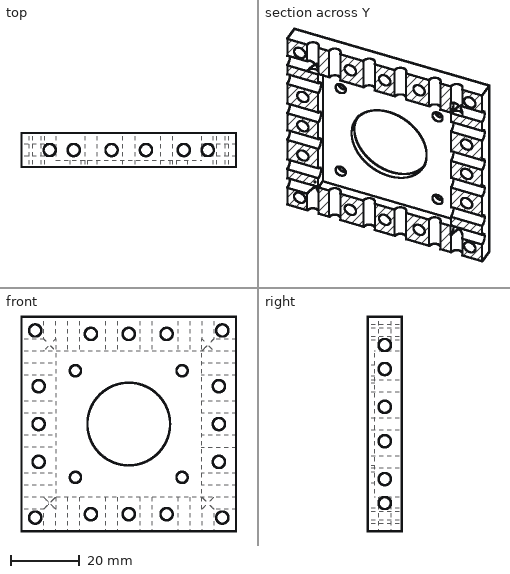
import cadquery as cq

plate_size = 62.4
plate_thickness = 10.0
wall_thickness = 10.0
floor_thickness = 2.0
bore_diameter = 24.0

pocket_size = plate_size - 2 * wall_thickness
pocket_depth = plate_thickness - floor_thickness

screw_diameter = 3.5
motor_screw_diameter = 3.2
motor_screw_spacing = 31.0
corner_inset = 4.0
wall_hole_offsets = (-11.0, 0.0, 11.0)

side_hole_offsets = (5.0, 16.0, 23.0)

half_size = plate_size / 2
front_y = -plate_thickness / 2
wall_centre = half_size - wall_thickness / 2


def make_plate():
    """Solid square block before any cuts."""
    return cq.Workplane("XY").box(plate_size, plate_thickness, plate_size)


def make_pocket():
    """Square recess reaching from the floor to the open +Y face."""
    pocket = cq.Workplane("XY").box(pocket_size, pocket_depth, pocket_size)
    return pocket.translate((0, floor_thickness / 2, 0))


def y_holes(points, diameter):
    """Cylinders along Y through the full thickness at the given (x, z) points."""
    front_plane = cq.Workplane("XZ", origin=(0, front_y, 0))
    return front_plane.pushPoints(points).circle(diameter / 2).extrude(-plate_thickness)


def square_corners(offset):
    """Corner points of a square centred on the plate."""
    return [(x, z) for x in (-offset, offset) for z in (-offset, offset)]


def wall_hole_points():
    """Three points along the middle of each of the four walls."""
    points = []
    for side in (-wall_centre, wall_centre):
        for offset in wall_hole_offsets:
            points.append((side, offset))
            points.append((offset, side))
    return points


def top_row_holes():
    """Row of holes drilled down from the top face, one wall thickness deep."""
    points = [(sign * offset, 0) for sign in (-1, 1) for offset in side_hole_offsets]
    top_plane = cq.Workplane("XY", origin=(0, 0, half_size))
    return top_plane.pushPoints(points).circle(screw_diameter / 2).extrude(-wall_thickness)


result = make_plate().cut(make_pocket())
result = result.cut(y_holes([(0, 0)], bore_diameter))
result = result.cut(y_holes(square_corners(motor_screw_spacing / 2), motor_screw_diameter))
result = result.cut(y_holes(square_corners(half_size - corner_inset), screw_diameter))
result = result.cut(y_holes(wall_hole_points(), screw_diameter))

for angle in (0, 90, 180, 270):
    result = result.cut(top_row_holes().rotate((0, 0, 0), (0, 1, 0), angle))